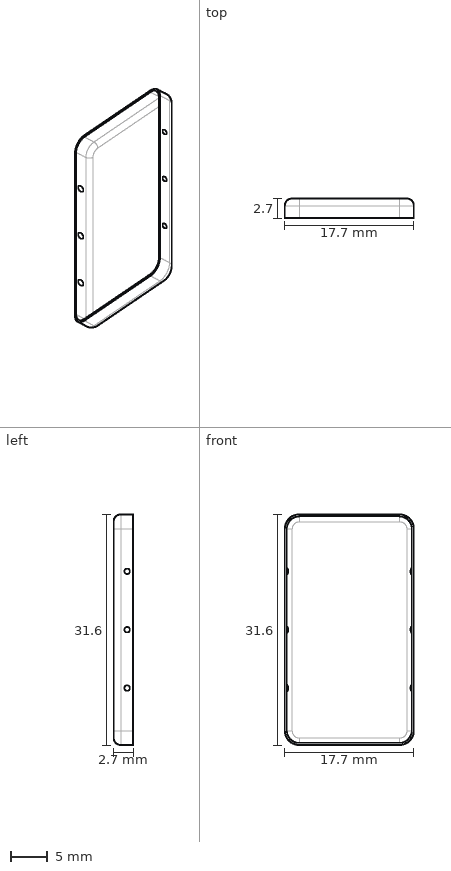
import cadquery as cq
import math

width = 17.7
depth = 2.7
height = 31.6

wall = 0.3
inner_edge_radius = 0.7
edge_radius = inner_edge_radius + wall
corner_radius = 2 * edge_radius

detent_pitch = 8.0
detent_from_rim = 0.82
dimple_radius = 0.38
bump_radius = 0.47
detent_depth = 0.2

rim_y = -depth / 2
detent_y = rim_y + detent_from_rim


def rounded_block(inset):
    """Tray envelope moved inward by inset, with its +Y edge rounded; the rim plane stays fixed."""
    block = cq.Workplane("XY").box(width - 2 * inset, depth - inset, height - 2 * inset)
    block = block.edges("|Y").fillet(corner_radius - inset)
    block = block.faces(">Y").edges().fillet(edge_radius - inset)
    return block.translate((0, -inset / 2, 0))


def detent_plug(base_radius, root, side, inset):
    """Domed plug on a wall, pointing inward.

    The dome starts inset below the outer face; a short cylindrical root extends outward from it.
    """
    middle = base_radius * math.sin(math.pi / 4)
    sphere_radius = (base_radius**2 + detent_depth**2) / (2 * detent_depth)
    arc_x = detent_depth - sphere_radius + math.sqrt(sphere_radius**2 - middle**2)
    plug = (
        cq.Workplane("XY")
        .moveTo(-root, 0)
        .lineTo(-root, base_radius)
        .lineTo(0, base_radius)
        .threePointArc((arc_x, middle), (detent_depth, 0))
        .close()
        .revolve(360, (0, 0, 0), (1, 0, 0))
    )
    if side > 0:
        plug = plug.mirror("YZ")
    return plug.translate((side * (width / 2 - inset), detent_y, 0))


result = rounded_block(0).cut(rounded_block(wall))

for side in (-1, 1):
    bump = detent_plug(bump_radius, wall / 2, side, wall)
    dimple = detent_plug(dimple_radius, wall, side, 0)
    for row in (-1, 0, 1):
        offset = (0, 0, row * detent_pitch)
        result = result.union(bump.translate(offset))
        result = result.cut(dimple.translate(offset))